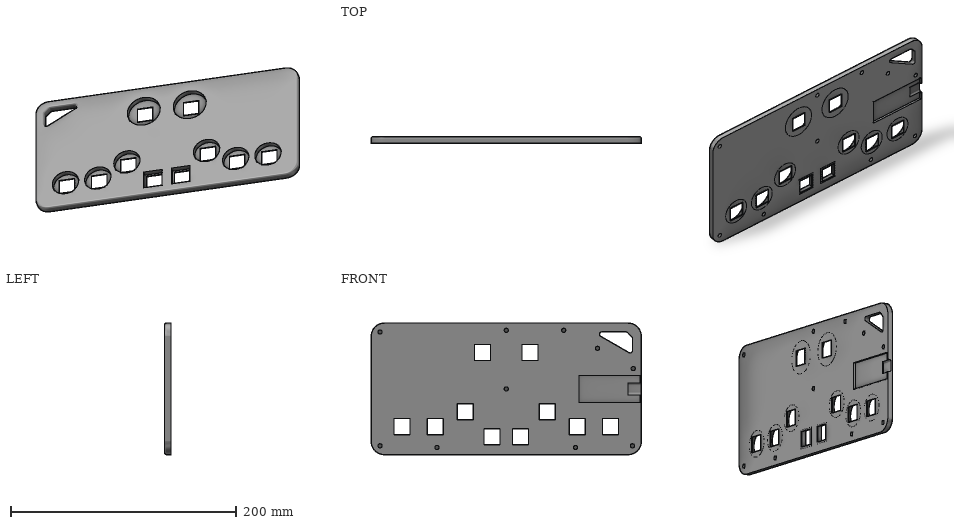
import cadquery as cq
import math

PLATE_LENGTH = 240.0
PLATE_HEIGHT = 117.0
PLATE_THICKNESS = 6.0
CORNER_RADIUS = 12.0
BACK_EDGE_FILLET = 2.0

WINDOW_SIZE = 14.0
WINDOW_FLOOR_THICKNESS = 1.0
SMALL_BUTTON_DIAMETER = 24.0
LARGE_BUTTON_DIAMETER = 30.0
SMALL_BUTTON_CENTERS = [
    (-92.5, -33.5),
    (-63.0, -33.5),
    (-36.4, -20.3),
    (36.4, -20.3),
    (63.0, -33.5),
    (92.5, -33.5),
]
LARGE_BUTTON_CENTERS = [(-21.0, 32.2), (21.0, 32.2)]

SQUARE_RECESS_SIZE = 17.0
SQUARE_RECESS_CENTERS = [(-12.7, -42.5), (12.7, -42.5)]

SCREW_HOLE_DIAMETER = 3.7
SCREW_HOLE_DEPTH = 4.0
SCREW_HOLE_CENTERS = [
    (-112.0, 50.5),
    (0.0, 52.0),
    (51.0, 52.0),
    (81.0, 36.0),
    (112.7, 18.0),
    (0.0, 0.0),
    (-112.0, -50.5),
    (-61.5, -52.0),
    (61.5, -52.0),
    (112.0, -50.5),
]

LANYARD_INSET = 8.0
LANYARD_HEIGHT = 20.0
LANYARD_SLOPE_ANGLE = 30.0
LANYARD_CORNER_CHAMFER = 5.0
LANYARD_CORNER_RADIUS = 2.0
LANYARD_BACK_FILLET = 2.0

POCKET_START = 64.5
POCKET_END = 118.5
POCKET_HEIGHT = 24.0
POCKET_DEPTH = 2.0
CHANNEL_START = 108.0
CHANNEL_WIDTH = 11.0
CHANNEL_FLOOR_RADIUS = 2.2
CHANNEL_DEPTH = 3.5

FRONT_Y = -PLATE_THICKNESS / 2
BACK_Y = PLATE_THICKNESS / 2

SELECTION_MARGIN = 0.1


def front_plane(depth=0.0):
    """Workplane parallel to the front face, whose local axes are X and Z and whose normal is -Y."""
    return cq.Workplane("XZ", origin=(0, FRONT_Y + depth, 0))


def make_plate():
    plate = front_plane().rect(PLATE_LENGTH, PLATE_HEIGHT).extrude(-PLATE_THICKNESS)
    plate = plate.edges("|Y").fillet(CORNER_RADIUS)
    return plate.faces(">Y").edges().fillet(BACK_EDGE_FILLET)


def make_windows(centers):
    return front_plane().pushPoints(centers).rect(WINDOW_SIZE, WINDOW_SIZE).extrude(-PLATE_THICKNESS)


def make_button_recesses(centers, diameter):
    recess_depth = PLATE_THICKNESS - WINDOW_FLOOR_THICKNESS
    recesses = front_plane(WINDOW_FLOOR_THICKNESS).pushPoints(centers)
    return recesses.circle(diameter / 2).extrude(-recess_depth)


def make_square_recesses():
    recess_depth = PLATE_THICKNESS - WINDOW_FLOOR_THICKNESS
    recesses = front_plane(WINDOW_FLOOR_THICKNESS).pushPoints(SQUARE_RECESS_CENTERS)
    return recesses.rect(SQUARE_RECESS_SIZE, SQUARE_RECESS_SIZE).extrude(-recess_depth)


def make_screw_holes():
    holes = front_plane().pushPoints(SCREW_HOLE_CENTERS)
    return holes.circle(SCREW_HOLE_DIAMETER / 2).extrude(-SCREW_HOLE_DEPTH)


def cut_lanyard_opening(plate):
    right = PLATE_LENGTH / 2 - LANYARD_INSET
    top = PLATE_HEIGHT / 2 - LANYARD_INSET
    left = right - LANYARD_HEIGHT / math.tan(math.radians(LANYARD_SLOPE_ANGLE))
    bottom = top - LANYARD_HEIGHT
    triangle = [(left, top), (right, top), (right, bottom)]

    opening = front_plane().polyline(triangle).close().extrude(-PLATE_THICKNESS)
    right_angle_corner = cq.selectors.NearestToPointSelector((right, 0, top))
    opening = opening.edges("|Y").edges(right_angle_corner).chamfer(LANYARD_CORNER_CHAMFER)
    opening = opening.edges("|Y").fillet(LANYARD_CORNER_RADIUS)

    pierced = plate.cut(opening)
    around_opening = cq.selectors.BoxSelector(
        (left, BACK_Y - SELECTION_MARGIN, bottom),
        (right + SELECTION_MARGIN, BACK_Y + SELECTION_MARGIN, top + SELECTION_MARGIN),
    )
    return pierced.edges(around_opening).fillet(LANYARD_BACK_FILLET)


def make_board_pocket():
    length = POCKET_END - POCKET_START
    return (
        front_plane()
        .center(POCKET_START + length / 2, 0)
        .rect(length, POCKET_HEIGHT)
        .extrude(-POCKET_DEPTH)
    )


def make_plug_channel():
    length = PLATE_LENGTH / 2 - CHANNEL_START
    channel = (
        front_plane()
        .center(CHANNEL_START + length / 2, 0)
        .rect(length, CHANNEL_WIDTH)
        .extrude(-CHANNEL_DEPTH)
    )
    return channel.faces(">Y").edges("|X").fillet(CHANNEL_FLOOR_RADIUS)


result = cut_lanyard_opening(make_plate())
result = result.cut(make_windows(SMALL_BUTTON_CENTERS + LARGE_BUTTON_CENTERS + SQUARE_RECESS_CENTERS))
result = result.cut(make_button_recesses(SMALL_BUTTON_CENTERS, SMALL_BUTTON_DIAMETER))
result = result.cut(make_button_recesses(LARGE_BUTTON_CENTERS, LARGE_BUTTON_DIAMETER))
result = result.cut(make_square_recesses())
result = result.cut(make_screw_holes())
result = result.cut(make_board_pocket())
result = result.cut(make_plug_channel())